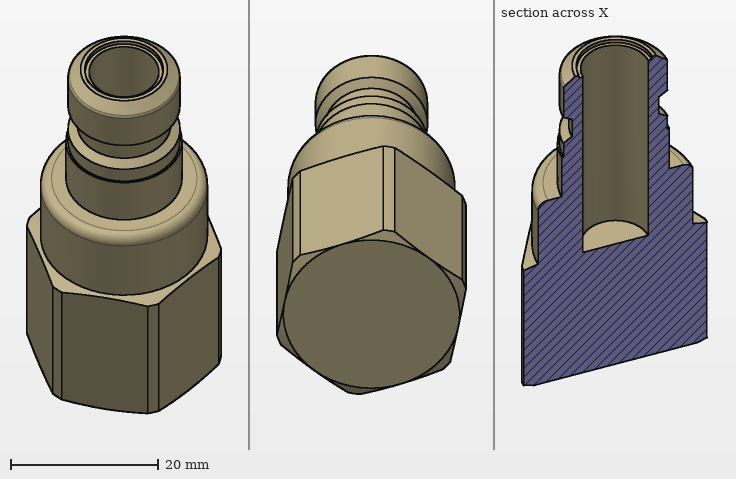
import cadquery as cq
import math

hex_across_flats = 24.0
hex_corner_diameter = 26.8
hex_height = 22.0
hex_bevel_drop = 0.5
hex_bottom_diameter = 24.0

collar_diameter = 22.7
collar_top = 33.2
collar_fillet = 1.45

shank_diameter = 15.8
shank_top = 40.5
plug_diameter = 15.25
groove_diameter = 12.75
lower_land_top = 42.85
groove_bottom = 43.7
groove_top = 46.7
head_bottom = 47.5
total_height = 54.5
nose_diameter = 11.8
nose_taper_height = 1.4
nose_fillet = 0.55

bore_diameter = 9.5
bore_floor = hex_height
mouth_diameter = 10.7
mouth_floor_diameter = 10.5
mouth_depth = 0.5


def revolve_profile(points):
    """Revolve (diameter, height) points, closed along the Z axis."""
    outline = [(0, points[0][1])]
    outline += [(diameter / 2, height) for diameter, height in points]
    outline.append((0, points[-1][1]))
    return cq.Workplane("XZ").polyline(outline).close().revolve(360, (0, 0), (0, 1))


def make_hexagon():
    """Hexagonal prism with turned-down corners and beveled ends."""
    circumscribed_diameter = hex_across_flats / math.cos(math.pi / 6)
    prism = (
        cq.Workplane("XY")
        .polygon(6, circumscribed_diameter)
        .extrude(hex_height)
        .rotate((0, 0, 0), (0, 0, 1), 30)
    )
    turned_envelope = revolve_profile([
        (hex_bottom_diameter, 0),
        (hex_corner_diameter, hex_bevel_drop),
        (hex_corner_diameter, hex_height - hex_bevel_drop),
        (collar_diameter, hex_height),
    ])
    return prism.intersect(turned_envelope)


def make_collar():
    """Round collar with a rounded top edge."""
    collar = cq.Workplane("XY").circle(collar_diameter / 2).extrude(collar_top)
    return collar.faces(">Z").edges().fillet(collar_fillet)


def make_nipple():
    """Plug end with a locking groove and a tapered nose."""
    taper_bottom = total_height - nose_taper_height
    nipple = revolve_profile([
        (shank_diameter, 0),
        (shank_diameter, shank_top),
        (plug_diameter, shank_top),
        (plug_diameter, lower_land_top),
        (groove_diameter, groove_bottom),
        (groove_diameter, groove_top),
        (plug_diameter, head_bottom),
        (plug_diameter, taper_bottom),
        (nose_diameter, total_height),
    ])
    shoulder = cq.selectors.NearestToPointSelector((0, 0, taper_bottom))
    return nipple.edges("%CIRCLE").edges(shoulder).fillet(nose_fillet)


def make_bore():
    """Cutting body for the blind bore and its stepped mouth."""
    mouth_floor = total_height - mouth_depth
    return revolve_profile([
        (bore_diameter, bore_floor),
        (bore_diameter, mouth_floor),
        (mouth_floor_diameter, mouth_floor),
        (mouth_diameter, total_height),
    ])


result = make_hexagon().union(make_collar()).union(make_nipple()).cut(make_bore())